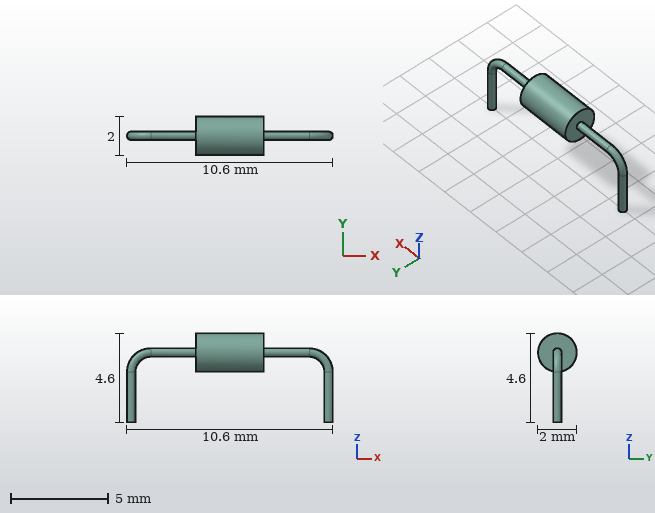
import cadquery as cq

body_diameter = 2.0
body_length = 3.5
lead_diameter = 0.45
lead_pitch = 10.16
bend_radius = 1.0
leg_depth = 2.6

axis_height = body_diameter / 2
leg_x = lead_pitch / 2
bend_start_x = leg_x - bend_radius
bend_end_z = axis_height - bend_radius


def make_body():
    """Cylinder lying along X, centred on the YZ plane."""
    return (
        cq.Workplane("YZ", origin=(-body_length / 2, 0, axis_height))
        .circle(body_diameter / 2)
        .extrude(body_length)
    )


def make_lead():
    """Wire running up one leg, through the body and down the other leg."""
    path = (
        cq.Workplane("XZ")
        .moveTo(-leg_x, -leg_depth)
        .lineTo(-leg_x, bend_end_z)
        .tangentArcPoint((-bend_start_x, axis_height), relative=False)
        .lineTo(bend_start_x, axis_height)
        .tangentArcPoint((leg_x, bend_end_z), relative=False)
        .lineTo(leg_x, -leg_depth)
    )
    return (
        cq.Workplane("XY", origin=(-leg_x, 0, -leg_depth))
        .circle(lead_diameter / 2)
        .sweep(path)
    )


result = make_body().union(make_lead())